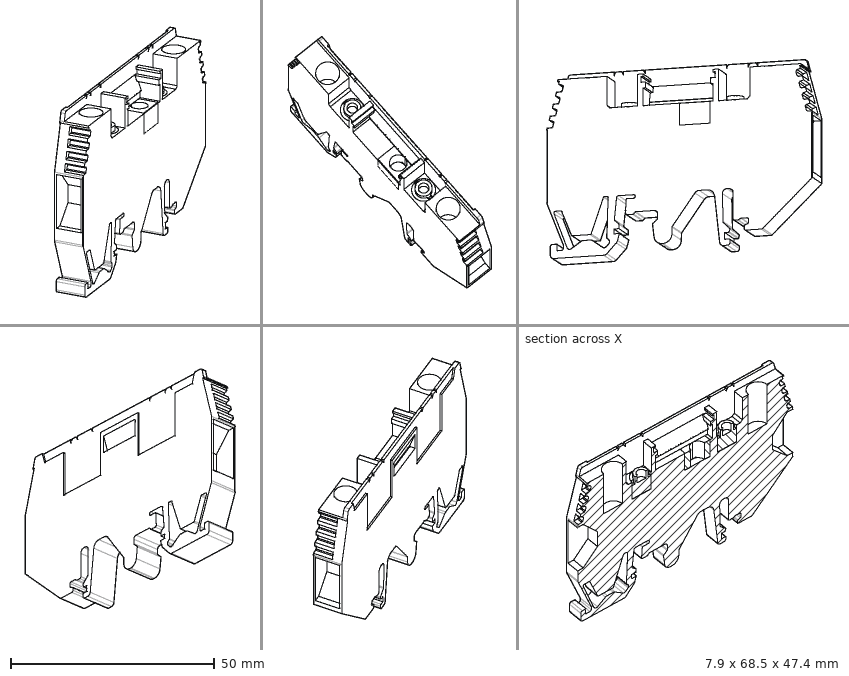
import cadquery as cq
import math

LENGTH = 68.5
WIDTH = 7.9
HEIGHT = 47.4
HALF_LENGTH = LENGTH / 2

BLOCK_TOP = 44.95
LIP_TOP_Y = 31.25
LIP_Y = 31.45
LIP_BOTTOM = 44.45
TAPER_TOP_Y = 30.95
END_TOP = 32.4
FRONT_END_BOTTOM = 14.1
BACK_END_BOTTOM = 16.2
END_CHAMFER = 0.2

PLATE_THICKNESS = 1.2
PLATE_TOP_Y = 30.6
PLATE_CORNER_RADIUS = 0.7
RECESS_DEPTH = 0.5
RECESS_TOP_Y = 27.95
RECESS_STEP_Y = 27.1
RECESS_STEP_Z = 44.5
RECESS_LEG_BOTTOM = 32.55
LEG_CENTRE_Y = -0.3
LEG_INNER = 6.85
LEG_OUTER = 20.5
NOTCH_WIDTH = 0.5
NOTCH_DEPTH = 0.9
NOTCHES = [(18.1, -1), (15.6, 1), (10.1, 1), (-10.9, -1), (-16.5, -1), (-18.9, 1)]

PIT_FLOOR = 37.0
PIT_FOOT_CHAMFER = 0.7
BACK_PIT = (10.1, 18.15)
FRONT_PIT = (-18.7, -10.8)
PARTITION_THICKNESS = 1.45
LEDGE_REACH = 0.6
LEDGE_TOP = 42.9
LEDGE_HEIGHT = 1.45
LATCH_LIP = 0.6
LATCH_GROOVE_DEPTH = 0.55

WINDOW_Y = (-6.1, 5.4)
WINDOW_TOP = 43.1
WINDOW_BOTTOM = 38.5
WINDOW_DEPTH = 1.45
WINDOW_SILL = 0.4
WALL_UNDERCUT = 0.35
LEANING_WALL_FOOT_X = 2.75

BORE_X = 4.5
BORE_Y = 23.0
BORE_RADIUS = 2.95
FUNNEL_X = (0.6, 7.25)
FUNNEL_TOP = 31.85
FUNNEL_BOTTOM = 17.6
FUNNEL_INNER_TOP = 26.9
FUNNEL_INNER_BOTTOM = 22.1
FUNNEL_LIP = 1.8
FUNNEL_DEPTH = 6.3
BORE_BOTTOM = FUNNEL_TOP

GROOVE_X = 2.7
GROOVE_COUNT = 4
GROOVE_SPAN = 8.9
GROOVE_PITCH = GROOVE_SPAN / (GROOVE_COUNT - 1)
GROOVE_TOP = 43.8
GROOVE_HEIGHT = 2.0
GROOVE_DEPTH = 1.4
GROOVE_ROOF_DROP = 0.3
GROOVE_FLOOR_RISE = 0.1
GROOVE_ROOF_CHAMFER = 0.4
GROOVE_FLOOR_CHAMFER = 0.2

SOCKET_X = 4.25
SOCKET_YS = (13.3, -13.9)
SOCKET_RADIUS = 2.95
SOCKET_DEPTH = 5.5
COLLAR_RADIUS = 2.1
COLLAR_HEIGHT = 1.4
SOCKET_BORE_RADIUS = 1.3
SLOT_WIDTH = 1.1
SLOT_DEPTH = 1.0

CONTACT_X = (LEANING_WALL_FOOT_X - WALL_UNDERCUT, 7.7)
CONTACT_Y = (-0.1, 7.8)
CONTACT_HEIGHT = 5.5
CONTACT_BORE_RADIUS = 2.1
CONTACT_BORE_X = BORE_X
CONTACT_BORE_Y = 3.9

LOWER_EDGE = [
    (HALF_LENGTH, BACK_END_BOTTOM, 0),
    (21.3, 4.0, 0.55), (16.65, 4.0, 0.4), (16.65, 5.2, 0.2), (17.75, 5.7, 0.4), (17.75, 7.05, 0.35),
    (15.9, 7.05, 0.3), (15.1, 6.65, 0.3), (13.8, 6.65, 0.4),
    (13.8, 14.7, 1.15), (11.0, 14.7, 1.15), (11.2, 6.3, 0.4), (13.0, 4.6, 0.2), (12.75, 3.7, 0.2),
    (11.65, 3.7, 0), (11.65, 2.05, 0), (13.0, 2.05, 0.35), (13.0, 0.5, 0.7), (10.4, 0.5, 0.9),
    (8.85, 14.7, 1.85), (4.4, 14.7, 1.4), (-1.9, 6.0, 0.3), (-2.0, 2.0, 2.3), (-6.4, 2.0, 2.05),
    (-7.0, 7.05, 0.3), (-5.7, 8.2, 0.35), (-5.7, 10.4, 0.8),
    (-11.4, 10.4, 0.2), (-11.9, 9.8, 0.2), (-14.0, 9.8, 0.4), (-13.7, 13.85, 0.15),
    (-11.45, 13.85, 0.4), (-11.45, 14.7, 0.4), (-16.2, 14.7, 0.55),
    (-16.8, 8.6, 0.3), (-15.6, 7.7, 0.3), (-15.6, 6.45, 0), (-16.9, 6.45, 0), (-16.9, 5.2, 0),
    (-15.5, 5.2, 0), (-16.0, 3.15, 1.4), (-19.05, 0, 1.1),
    (-33.3, 0, 0.8), (-33.3, 3.55, 0.55), (-31.6, 3.55, 0), (-31.6, 1.9, 0), (-29.95, 1.9, 0.4),
    (-29.95, 3.2, 0.35),
    (-HALF_LENGTH, FRONT_END_BOTTOM, 1.4),
]

SPRING_OPENING = [
    (-18.35, 14.7, 0.35), (-19.5, 14.7, 0.2), (-22.8, 5.4, 0.3), (-27.8, 5.4, 0.35),
    (-30.4, 11.85, 0.35), (-32.55, 11.85, 0.4), (-28.6, 1.65, 0.7), (-25.15, 4.05, 1.0),
    (-22.6, 4.05, 1.0), (-19.3, 1.7, 0.7), (-18.1, 2.95, 0.4), (-18.1, 3.6, 0.2), (-18.8, 4.3, 0.2),
]


def rounded_outline(corners):
    """Closed outline in the YZ plane at X = 0; corners are (Y, Z, radius)."""
    stretches = []
    for i, (y, z, radius) in enumerate(corners):
        corner = cq.Vector(y, z, 0)
        to_last = (cq.Vector(*corners[i - 1][:2], 0) - corner).normalized()
        to_next = (cq.Vector(*corners[(i + 1) % len(corners)][:2], 0) - corner).normalized()
        if radius == 0:
            stretches.append((corner, None, corner))
            continue
        half_angle = to_last.getAngle(to_next) / 2
        tangent = radius / math.tan(half_angle)
        middle = (to_last + to_next).normalized() * (radius / math.sin(half_angle) - radius)
        stretches.append((corner + to_last * tangent, corner + middle, corner + to_next * tangent))
    path = cq.Workplane("YZ").moveTo(*stretches[0][2].toTuple()[:2])
    for start, middle, end in stretches[1:] + stretches[:1]:
        path = path.lineTo(*start.toTuple()[:2])
        if middle is not None:
            path = path.threePointArc(middle.toTuple()[:2], end.toTuple()[:2])
    return path.close()


def yz_prism(points, x_start, x_end):
    """Prism along X with a plain polygon of (Y, Z) points."""
    return cq.Workplane("YZ", origin=(x_start, 0, 0)).polyline(points).close().extrude(x_end - x_start)


def box_between(x_range, y_range, z_range):
    size = [high - low for low, high in (x_range, y_range, z_range)]
    return cq.Workplane("XY").box(*size, centered=False).translate((x_range[0], y_range[0], z_range[0]))


def upright_cylinder(x, y, bottom, top, radius):
    return cq.Workplane("XY", origin=(x, y, bottom)).circle(radius).extrude(top - bottom)


def make_shell():
    """Full-width prism with the side outline and the opening of the spring foot."""
    front_end = [
        (-HALF_LENGTH, END_TOP, 0), (-TAPER_TOP_Y, LIP_BOTTOM, 0),
        (-LIP_Y, LIP_BOTTOM, 0), (-LIP_TOP_Y, BLOCK_TOP, 0),
    ]
    back_end = [(-y, z, radius) for y, z, radius in reversed(front_end)]
    shell = rounded_outline(LOWER_EDGE + front_end + back_end).extrude(WIDTH)
    return shell.cut(rounded_outline(SPRING_OPENING).extrude(WIDTH))


def make_plate_rim():
    """Part of the cover plate that stands above the blocks."""
    half = [(LIP_TOP_Y, BLOCK_TOP, 0), (PLATE_TOP_Y, HEIGHT, PLATE_CORNER_RADIUS)]
    outline = half + [(-y, z, radius) for y, z, radius in reversed(half)]
    return rounded_outline(outline).extrude(PLATE_THICKNESS)


def make_plate_recess():
    """Shallow recess in the plate: a top band with two legs."""
    band = [
        (-RECESS_STEP_Y, RECESS_STEP_Z), (-RECESS_TOP_Y, HEIGHT),
        (RECESS_TOP_Y, HEIGHT), (RECESS_STEP_Y, RECESS_STEP_Z),
    ]
    recess = yz_prism(band, 0, RECESS_DEPTH)
    for leg in [(LEG_INNER, LEG_OUTER), (-LEG_OUTER, -LEG_INNER)]:
        leg_y = [LEG_CENTRE_Y + y for y in leg]
        recess = recess.union(box_between((0, RECESS_DEPTH), leg_y, (RECESS_LEG_BOTTOM, RECESS_STEP_Z)))
    return recess


def make_notch(y, direction):
    points = [(y, HEIGHT), (y, HEIGHT - NOTCH_DEPTH), (y + direction * NOTCH_WIDTH, HEIGHT)]
    return yz_prism(points, 0, PLATE_THICKNESS)


def make_socket_pit(partition_y, block_y):
    """Pit with upright walls and a sloping foot along the end block."""
    block_foot_y = block_y - math.copysign(PIT_FOOT_CHAMFER, block_y)
    points = [
        (partition_y, BLOCK_TOP), (partition_y, PIT_FLOOR),
        (block_foot_y, PIT_FLOOR), (block_y, PIT_FLOOR + PIT_FOOT_CHAMFER), (block_y, BLOCK_TOP),
    ]
    return yz_prism(points, PLATE_THICKNESS, WIDTH)


def make_middle_pit():
    """Pit between the partitions, with a latch groove and ledge at each end and a leaning -X wall."""
    back_y = BACK_PIT[0] - PARTITION_THICKNESS
    front_y = FRONT_PIT[1] + PARTITION_THICKNESS
    lip_bottom = BLOCK_TOP - LATCH_LIP
    pit = box_between((PLATE_THICKNESS, WIDTH), (front_y, back_y), (PIT_FLOOR, BLOCK_TOP))
    for wall_y, outward in [(back_y, 1), (front_y, -1)]:
        groove_y = sorted([wall_y, wall_y + outward * LATCH_GROOVE_DEPTH])
        ledge_y = sorted([wall_y, wall_y - outward * LEDGE_REACH])
        pit = pit.union(box_between((PLATE_THICKNESS, WIDTH), groove_y, (LEDGE_TOP, lip_bottom)))
        pit = pit.cut(box_between((PLATE_THICKNESS, WIDTH), ledge_y, (LEDGE_TOP - LEDGE_HEIGHT, LEDGE_TOP)))
    undercut_x = LEANING_WALL_FOOT_X - WALL_UNDERCUT
    foot_z = WINDOW_BOTTOM + WINDOW_SILL
    leaning_wall = (
        cq.Workplane("XZ", origin=(0, back_y, 0))
        .polyline([
            (0, WINDOW_TOP), (PLATE_THICKNESS, WINDOW_TOP), (LEANING_WALL_FOOT_X, foot_z),
            (undercut_x, foot_z), (undercut_x, PIT_FLOOR), (0, PIT_FLOOR),
        ])
        .close()
        .extrude(back_y - front_y)
    )
    return pit.cut(leaning_wall)


def make_window():
    """Window in the plate whose roof leans down to a low back wall."""
    sill_top = WINDOW_BOTTOM + WINDOW_SILL
    return (
        cq.Workplane("XZ", origin=(0, WINDOW_Y[1], 0))
        .polyline([
            (0, WINDOW_TOP), (WINDOW_DEPTH, sill_top),
            (WINDOW_DEPTH, WINDOW_BOTTOM), (0, WINDOW_BOTTOM),
        ])
        .close()
        .extrude(WINDOW_Y[1] - WINDOW_Y[0])
    )


def make_funnel():
    """Wire funnel of the -Y end: a straight mouth, then sloping roof and floor."""
    mouth_y = -HALF_LENGTH + FUNNEL_LIP
    back_y = -HALF_LENGTH + FUNNEL_DEPTH
    points = [
        (-HALF_LENGTH, FUNNEL_BOTTOM), (mouth_y, FUNNEL_BOTTOM), (back_y, FUNNEL_INNER_BOTTOM),
        (back_y, FUNNEL_INNER_TOP), (mouth_y, FUNNEL_TOP), (-HALF_LENGTH, FUNNEL_TOP),
    ]
    return yz_prism(points, *FUNNEL_X)


def taper_y(z):
    """Y of the tapered -Y end face at height z."""
    share = (z - END_TOP) / (LIP_BOTTOM - END_TOP)
    return -HALF_LENGTH + share * (HALF_LENGTH - TAPER_TOP_Y)


def make_groove(top):
    """Grip groove of the -Y end, narrowing inward to chamfered inner corners."""
    floor = top - GROOVE_HEIGHT
    roof_depth = GROOVE_DEPTH - GROOVE_ROOF_CHAMFER
    floor_depth = GROOVE_DEPTH - GROOVE_FLOOR_CHAMFER
    inner_roof = top - GROOVE_ROOF_DROP
    inner_floor = floor + GROOVE_FLOOR_RISE
    back_top = inner_roof - GROOVE_ROOF_CHAMFER
    back_bottom = inner_floor + GROOVE_FLOOR_CHAMFER
    points = [
        (taper_y(top), top), (taper_y(inner_roof) + roof_depth, inner_roof),
        (taper_y(back_top) + GROOVE_DEPTH, back_top),
        (taper_y(back_bottom) + GROOVE_DEPTH, back_bottom),
        (taper_y(inner_floor) + floor_depth, inner_floor), (taper_y(floor), floor),
    ]
    return yz_prism(points, GROOVE_X, WIDTH)


def make_end_chamfer():
    """Chamfer on the +X edge of the vertical -Y end face."""
    return (
        cq.Workplane("XY", origin=(0, 0, FRONT_END_BOTTOM))
        .polyline([
            (WIDTH - END_CHAMFER, -HALF_LENGTH), (WIDTH, -HALF_LENGTH),
            (WIDTH, -HALF_LENGTH + END_CHAMFER),
        ])
        .close()
        .extrude(END_TOP - FRONT_END_BOTTOM)
    )


def make_housing():
    housing = make_shell().union(make_plate_rim())

    housing = housing.cut(make_plate_recess())
    for y, direction in NOTCHES:
        housing = housing.cut(make_notch(y, direction))

    housing = housing.cut(make_socket_pit(*BACK_PIT))
    housing = housing.cut(make_socket_pit(*reversed(FRONT_PIT)))
    housing = housing.cut(make_middle_pit())
    housing = housing.cut(make_window())

    bore = upright_cylinder(BORE_X, -BORE_Y, BORE_BOTTOM, BLOCK_TOP, BORE_RADIUS)
    end_cuts = [bore, make_funnel(), make_end_chamfer()]
    end_cuts += [make_groove(GROOVE_TOP - i * GROOVE_PITCH) for i in range(GROOVE_COUNT)]
    for end_cut in end_cuts:
        housing = housing.cut(end_cut).cut(end_cut.mirror("XZ"))

    for y in SOCKET_YS:
        seat = upright_cylinder(SOCKET_X, y, PIT_FLOOR - SOCKET_DEPTH, PIT_FLOOR, SOCKET_RADIUS)
        housing = housing.cut(seat)
    return housing.cut(make_contact_blank())


def make_socket(y):
    """Slotted flange flush with the pit floor, a raised collar and a bore."""
    bottom = PIT_FLOOR - SOCKET_DEPTH
    top = PIT_FLOOR + COLLAR_HEIGHT
    slot_bottom = PIT_FLOOR - SLOT_DEPTH
    slot = (
        cq.Workplane("XY", origin=(SOCKET_X, y, slot_bottom))
        .rect(SLOT_WIDTH, 2 * SOCKET_RADIUS)
        .extrude(SLOT_DEPTH)
    )
    socket = upright_cylinder(SOCKET_X, y, bottom, PIT_FLOOR, SOCKET_RADIUS).cut(slot)
    socket = socket.union(upright_cylinder(SOCKET_X, y, slot_bottom, top, COLLAR_RADIUS))
    return socket.cut(upright_cylinder(SOCKET_X, y, slot_bottom, top, SOCKET_BORE_RADIUS))


def make_contact_blank():
    return box_between(CONTACT_X, CONTACT_Y, (PIT_FLOOR - CONTACT_HEIGHT, PIT_FLOOR))


def make_contact():
    """Contact block flush with the pit floor, bored from top to bottom."""
    bore = upright_cylinder(
        CONTACT_BORE_X, CONTACT_BORE_Y, PIT_FLOOR - CONTACT_HEIGHT, PIT_FLOOR, CONTACT_BORE_RADIUS
    )
    return make_contact_blank().cut(bore)


housing = make_housing()
sockets = [make_socket(y) for y in SOCKET_YS]
contact = make_contact()

result = cq.Compound.makeCompound(
    [housing.solids().val(), *[socket.solids().val() for socket in sockets], contact.solids().val()]
)